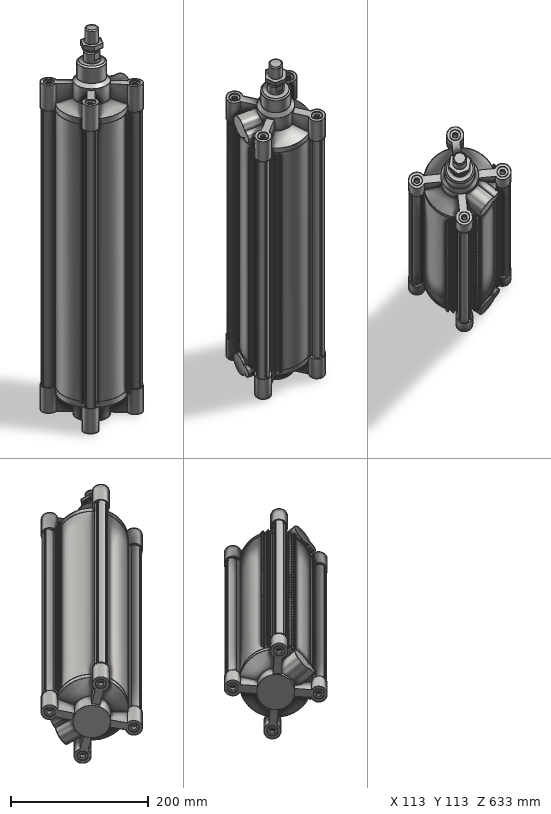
import cadquery as cq
import math

TOTAL_HEIGHT = 633.0
REAR_HUB_STEP = 4.5
REAR_CAP_TOP = 45.5
FRONT_CAP_BOTTOM = 501.0
FRONT_BOSS_TOP = 543.0
HUB_STRAIGHT_TOP = 546.0
NECK_BOTTOM = 552.0
NECK_TOP = 579.0
FLATS_BOTTOM = 584.0
ROD_SHOULDER = 596.0
NUT_BOTTOM = 602.0
NUT_HEIGHT = 7.5

OVERALL_WIDTH = 113.0
BOSS_DIAMETER = 25.0
BOSS_PITCH = (OVERALL_WIDTH - BOSS_DIAMETER) / 2
RIB_WIDTH = 12.0
FLANGE_RADIUS = 53.0
FLANGE_HEIGHT = 9.5
CONE_HEIGHT = 9.5
HUB_RADIUS = 55.0 / 2
NECK_RADIUS = 43.5 / 2
NECK_CHAMFER = 2.5

RECESS_DIAMETER = 16.0
RECESS_DEPTH = 2.0
SCREW_HOLE_DIAMETER = 8.0
SCREW_HOLE_DEPTH = 9.5

PORT_RADIUS = 17.0
PORT_X = 6.5
PORT_HEIGHT = 21.0
CUSHION_RADIUS = 18.5 / 2
CUSHION_X = -13.0
CUSHION_HEIGHT = 18.0

BARREL_RADIUS = FLANGE_RADIUS
BAR_RADIUS = 19.0 / 2
BAR_PITCH = 45.5
WEB_WIDTH = 14.0
GROOVE_WIDTH = 3.0
GROOVE_DEPTH = 2.5
RAIL_STEM_WIDTH = 1.0
RAIL_LIP_WIDTH = 4.0
RAIL_LIP_THICKNESS = 1.0
RAIL_ROOT_OVERLAP = 1.0
OUTER_RAIL_OFFSET = 28.0
OUTER_RAIL_REACH = 51.0
INNER_RAIL_OFFSET = 21.0
INNER_RAIL_REACH = 55.0

ROD_RADIUS = 25.0 / 2
ROD_CHAMFER = 2.0
FLATS_WIDTH = 22.0
THREAD_RADIUS = 20.0 / 2
THREAD_CHAMFER = 2.0
NUT_ACROSS_FLATS = 30.0

DIAGONALS = [45, 135, 225, 315]


def cylinder(radius, bottom, top, x=0.0, y=0.0):
    """Cylinder along Z between two heights."""
    return cq.Workplane("XY", origin=(x, y, bottom)).circle(radius).extrude(top - bottom)


def block(x_min, x_max, y_min, y_max, z_min, z_max):
    """Box given by its limits on each axis."""
    box = cq.Workplane("XY").box(x_max - x_min, y_max - y_min, z_max - z_min, centered=False)
    return box.translate((x_min, y_min, z_min))


def y_boss(radius, x, z):
    """Round boss along Y, from the cap axis out to the +Y side."""
    return cq.Workplane("XZ", origin=(x, 0, z)).circle(radius).extrude(-OVERALL_WIDTH / 2)


def make_cap(hub_height, boss_height):
    """End cap without rod bore, standing on the barrel end at Z = 0 and pointing to +Z."""
    cone_top = FLANGE_HEIGHT + CONE_HEIGHT
    body = (
        cq.Workplane("XZ")
        .polyline([
            (0, 0),
            (FLANGE_RADIUS, 0),
            (FLANGE_RADIUS, FLANGE_HEIGHT),
            (HUB_RADIUS, cone_top),
            (HUB_RADIUS, hub_height),
            (0, hub_height),
        ])
        .close()
        .revolve(360, (0, 0, 0), (0, 1, 0))
    )
    boss_distance = BOSS_PITCH * math.sqrt(2)
    for angle in DIAGONALS:
        rib = block(0, boss_distance, -RIB_WIDTH / 2, RIB_WIDTH / 2, 0, boss_height)
        boss = cylinder(BOSS_DIAMETER / 2, 0, boss_height, boss_distance)
        body = body.union(rib.union(boss).rotate((0, 0, 0), (0, 0, 1), angle))
    for angle in DIAGONALS:
        recess_floor = boss_height - RECESS_DEPTH
        recess = cylinder(RECESS_DIAMETER / 2, recess_floor, boss_height, boss_distance)
        hole = cylinder(SCREW_HOLE_DIAMETER / 2, recess_floor - SCREW_HOLE_DEPTH, boss_height, boss_distance)
        body = body.cut(recess.union(hole).rotate((0, 0, 0), (0, 0, 1), angle))
    body = body.union(y_boss(PORT_RADIUS, PORT_X, PORT_HEIGHT))
    return body.union(y_boss(CUSHION_RADIUS, CUSHION_X, CUSHION_HEIGHT))


def make_front_cap():
    """Front cap with its tapered hub, neck and through bore for the rod."""
    cap = make_cap(HUB_STRAIGHT_TOP - FRONT_CAP_BOTTOM, FRONT_BOSS_TOP - FRONT_CAP_BOTTOM)
    cap = cap.translate((0, 0, FRONT_CAP_BOTTOM))
    neck = (
        cq.Workplane("XZ")
        .polyline([
            (0, HUB_STRAIGHT_TOP),
            (HUB_RADIUS, HUB_STRAIGHT_TOP),
            (NECK_RADIUS, NECK_BOTTOM),
            (NECK_RADIUS, NECK_TOP - NECK_CHAMFER),
            (NECK_RADIUS - NECK_CHAMFER, NECK_TOP),
            (0, NECK_TOP),
        ])
        .close()
        .revolve(360, (0, 0, 0), (0, 1, 0))
    )
    return cap.union(neck).cut(cylinder(ROD_RADIUS, FRONT_CAP_BOTTOM, NECK_TOP))


def make_rear_cap():
    """Rear cap, pointing down, with the port boss kept on the +Y side."""
    cap = make_cap(REAR_CAP_TOP, REAR_CAP_TOP - REAR_HUB_STEP)
    return cap.mirror("XY").translate((0, 0, REAR_CAP_TOP))


def make_sensor_rail(offset, reach):
    """T-shaped rail along the -X side of the barrel, at a given Y offset."""
    lip_inside = reach - RAIL_LIP_THICKNESS
    inner_end = math.sqrt(BARREL_RADIUS**2 - offset**2) - RAIL_ROOT_OVERLAP

    def strip(outer, inner, width):
        return block(
            -outer, -inner,
            offset - width / 2, offset + width / 2,
            REAR_CAP_TOP, FRONT_CAP_BOTTOM,
        )

    stem = strip(lip_inside, inner_end, RAIL_STEM_WIDTH)
    lip = strip(reach, lip_inside, RAIL_LIP_WIDTH)
    return stem.union(lip)


def make_barrel():
    """Barrel with four grooved corner bars on webs and sensor rails around the +Y corners."""
    barrel = cylinder(BARREL_RADIUS, REAR_CAP_TOP, FRONT_CAP_BOTTOM)
    bar_distance = BAR_PITCH * math.sqrt(2)
    for angle in DIAGONALS:
        web = block(0, bar_distance, -WEB_WIDTH / 2, WEB_WIDTH / 2, REAR_CAP_TOP, FRONT_CAP_BOTTOM)
        bar = cylinder(BAR_RADIUS, REAR_CAP_TOP, FRONT_CAP_BOTTOM, bar_distance)
        barrel = barrel.union(web.union(bar).rotate((0, 0, 0), (0, 0, 1), angle))

    bar_outside = BAR_PITCH + BAR_RADIUS
    for side in range(4):
        for offset in (-BAR_PITCH, BAR_PITCH):
            groove = block(
                bar_outside - GROOVE_DEPTH, bar_outside,
                offset - GROOVE_WIDTH / 2, offset + GROOVE_WIDTH / 2,
                REAR_CAP_TOP, FRONT_CAP_BOTTOM,
            )
            barrel = barrel.cut(groove.rotate((0, 0, 0), (0, 0, 1), 90 * side))

    rail_places = [(OUTER_RAIL_OFFSET, OUTER_RAIL_REACH), (INNER_RAIL_OFFSET, INNER_RAIL_REACH)]
    for offset, reach in rail_places:
        rail = make_sensor_rail(offset, reach)
        mirrored_rail = rail.mirror("YZ")
        barrel = barrel.union(rail).union(mirrored_rail)
        barrel = barrel.union(rail.rotate((0, 0, 0), (0, 0, 1), -90))
        barrel = barrel.union(mirrored_rail.rotate((0, 0, 0), (0, 0, 1), 90))
    return barrel


def make_rod():
    """Piston rod with two wrench flats and a thinner threaded end."""
    shank = cylinder(ROD_RADIUS, FRONT_CAP_BOTTOM, ROD_SHOULDER).faces(">Z").chamfer(ROD_CHAMFER)
    for x_min, x_max in ((FLATS_WIDTH / 2, ROD_RADIUS), (-ROD_RADIUS, -FLATS_WIDTH / 2)):
        shank = shank.cut(block(x_min, x_max, -ROD_RADIUS, ROD_RADIUS, FLATS_BOTTOM, ROD_SHOULDER))
    thread = cylinder(THREAD_RADIUS, ROD_SHOULDER, TOTAL_HEIGHT).faces(">Z").chamfer(THREAD_CHAMFER)
    return shank.union(thread)


def make_nut():
    """Thin hexagon nut on the threaded end, with corners pointing along Y."""
    corner_diameter = NUT_ACROSS_FLATS / math.cos(math.pi / 6)
    nut = cq.Workplane("XY").polygon(6, corner_diameter).circle(THREAD_RADIUS).extrude(NUT_HEIGHT)
    return nut.rotate((0, 0, 0), (0, 0, 1), 90).translate((0, 0, NUT_BOTTOM))


front_cap = make_front_cap()
rear_cap = make_rear_cap()
barrel = make_barrel()
rod = make_rod()
nut = make_nut()

result = cq.Compound.makeCompound([
    front_cap.val(),
    rear_cap.val(),
    barrel.val(),
    rod.val(),
    nut.val(),
])